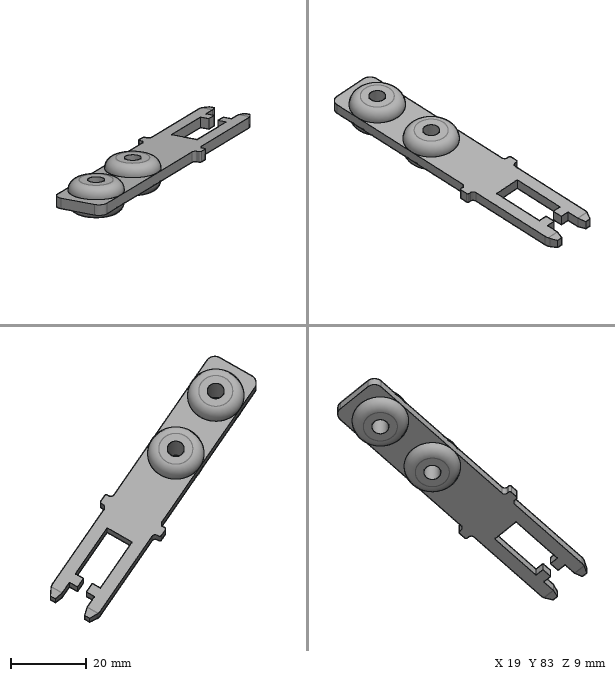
import cadquery as cq

length = 83.0
body_width = 15.0
thickness = 3.0
base_corner_radius = 2.5

ear_span = 19.0
ear_height = 3.0
ear_center_y = 51.5
ear_root_radius = 1.0
ear_corner_radius = 0.5

slot_width = 7.8
slot_depth = 24.8
hook_gap = 2.7
hook_height = 3.0
hook_setback = 6.0

tip_length = 2.3
tip_outer_length = 2.6
tip_outer_inset = 1.3
tip_inner_inset = 0.7
tip_shoulder_radius = 3.0
tip_face_drop = 0.25

boss_diameter = body_width
boss_height = 3.0
boss_edge_radius = 3.0
boss_hole_diameter = 4.5
boss_first_y = 10.05
boss_spacing = 20.0
boss_centers = [(0, boss_first_y), (0, boss_first_y + boss_spacing)]

half_width = body_width / 2
half_thickness = thickness / 2
half_slot = slot_width / 2
overlap = 0.2


def block(width, y_start, y_end):
    """Full-thickness block centered on X = 0 and Z = 0."""
    height = y_end - y_start
    return cq.Workplane("XY").box(width, height, thickness).translate((0, y_start + height / 2, 0))


def make_plate():
    """Rounded-base plate with rounded ears."""
    body = block(body_width, 0, length).edges("|Z and <Y").fillet(base_corner_radius)
    ears = block(ear_span, ear_center_y - ear_height / 2, ear_center_y + ear_height / 2)
    ears = ears.edges("|Z").fillet(ear_corner_radius)
    plate = body.union(ears)
    for side in (-1, 1):
        for end in (-1, 1):
            corner = (side * half_width, ear_center_y + end * ear_height / 2, 0)
            plate = plate.edges(cq.NearestToPointSelector(corner)).fillet(ear_root_radius)
    return plate


def cut_fork(plate):
    """Open the slot, leaving a pair of hooks facing each other across it."""
    hook_top = length - hook_setback
    hooks = block(slot_width, hook_top - hook_height, hook_top)
    hooks = hooks.cut(block(hook_gap, hook_top - hook_height, hook_top))
    slot = block(slot_width, length - slot_depth, length)
    return plate.cut(slot.cut(hooks))


def prong_tip_envelope():
    """Region that keeps the right-hand prong's tapered and rounded outline."""
    shoulder_y = length - tip_outer_length
    root_y = shoulder_y - 2 * tip_shoulder_radius
    outline = (
        cq.Workplane("XY", origin=(0, 0, -half_thickness))
        .moveTo(half_slot, root_y)
        .lineTo(half_width, root_y)
        .lineTo(half_width, shoulder_y)
        .lineTo(half_width - tip_outer_inset, length)
        .lineTo(half_slot + tip_inner_inset, length)
        .lineTo(half_slot, length - tip_length)
        .close()
        .extrude(thickness)
    )
    shoulder = cq.NearestToPointSelector((half_width, shoulder_y, 0))
    outline = outline.edges(shoulder).fillet(tip_shoulder_radius)
    end_half_thickness = half_thickness - tip_face_drop
    profile = (
        cq.Workplane("YZ")
        .polyline([
            (root_y, -half_thickness),
            (length - tip_length, -half_thickness),
            (length, -end_half_thickness),
            (length, end_half_thickness),
            (length - tip_length, half_thickness),
            (root_y, half_thickness),
        ])
        .close()
        .extrude(half_width)
    )
    return outline.intersect(profile)


def taper_prongs(plate):
    """Replace the square prong ends by tapered tips."""
    square_end_y = length - tip_outer_length - tip_shoulder_radius
    tip = prong_tip_envelope().intersect(block(body_width, square_end_y, length))
    trimmed = plate.cut(block(body_width, square_end_y, length))
    return trimmed.union(tip).union(tip.mirror("YZ"))


def make_boss():
    """Dome standing on the upper face, sunk slightly into the plate to fuse with it."""
    edge_start_z = half_thickness + boss_height - boss_edge_radius
    diagonal = boss_edge_radius * 0.5 ** 0.5
    arc_center_r = boss_diameter / 2 - boss_edge_radius
    top_z = half_thickness + boss_height
    return (
        cq.Workplane("XZ")
        .moveTo(0, edge_start_z - overlap)
        .lineTo(boss_diameter / 2, edge_start_z - overlap)
        .lineTo(boss_diameter / 2, edge_start_z)
        .threePointArc((arc_center_r + diagonal, edge_start_z + diagonal), (arc_center_r, top_z))
        .lineTo(0, top_z)
        .close()
        .revolve(360, (0, 0), (0, 1))
    )


def add_bosses(plate):
    """Fuse a dome onto both faces at each center, then drill through."""
    dome = make_boss()
    for x, y in boss_centers:
        upper = dome.translate((x, y, 0))
        plate = plate.union(upper).union(upper.mirror("XY"))
    drill_length = thickness + 2 * boss_height
    drills = (
        cq.Workplane("XY", origin=(0, 0, -drill_length / 2))
        .pushPoints(boss_centers)
        .circle(boss_hole_diameter / 2)
        .extrude(drill_length)
    )
    return plate.cut(drills)


result = add_bosses(taper_prongs(cut_fork(make_plate())))
result = result.translate((0, -length / 2, 0))